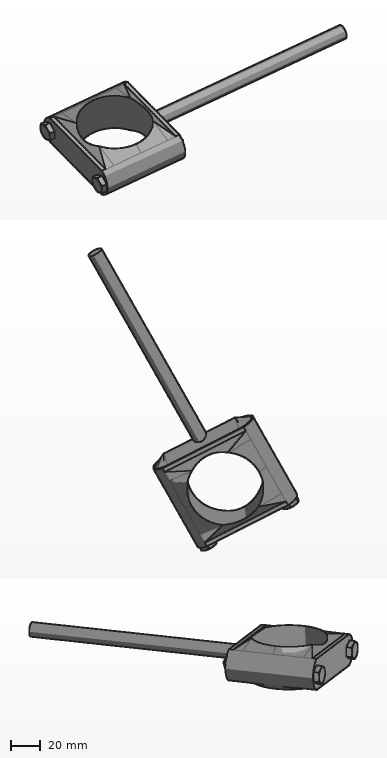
import math

import cadquery as cq

BODY_WIDTH = 75.85
BODY_HEIGHT = 21.8
BODY_DEPTH = 62.6
FLAT_HALF_WIDTH = 30.8

BORE_RADIUS = 25.5
PAD_TOP_Z = 14.92
PAD_CREST_Y = 21.7
PAD_BASE_Y = 28.3

ROOF_HEIGHT = 5.5
ROOF_SLOPE = math.radians(60)
RIDGE_HALF_LENGTH = 27.0

ROD_RADIUS = 5.0
TOTAL_LENGTH = 219.06
BOLT_X = 31.0
BOLT_SIDES = 6
BOLT_ACROSS_FLATS = 11.2
BOLT_HEAD_HEIGHT = 4.0
BOLT_CHAMFER_ANGLE = math.radians(30)

BACK_Y = BODY_DEPTH / 2
FRONT_Y = -BACK_Y
BODY_TOP_Z = BODY_HEIGHT / 2
ROD_END_Y = FRONT_Y - BOLT_HEAD_HEIGHT + TOTAL_LENGTH


def workplane_facing_back(y):
    """XZ plane at the given Y, extruding towards +Y, with local x along +Z and local y along +X."""
    return cq.Workplane(cq.Plane(origin=(0, y, 0), xDir=(0, 0, 1), normal=(0, 1, 0)))


def make_body():
    """Bar with flat top and bottom and arc-shaped sides."""
    side_x = BODY_WIDTH / 2
    return (
        workplane_facing_back(FRONT_Y)
        .moveTo(BODY_TOP_Z, -FLAT_HALF_WIDTH)
        .lineTo(BODY_TOP_Z, FLAT_HALF_WIDTH)
        .threePointArc((0, side_x), (-BODY_TOP_Z, FLAT_HALF_WIDTH))
        .lineTo(-BODY_TOP_Z, -FLAT_HALF_WIDTH)
        .threePointArc((0, -side_x), (BODY_TOP_Z, -FLAT_HALF_WIDTH))
        .close()
        .extrude(BODY_DEPTH)
    )


def polygon_face(*points):
    """Flat face bounded by straight edges through the given points."""
    return cq.Face.makeFromWires(cq.Wire.makePolygon(points, close=True))


def make_pad_quarter():
    """The +X +Y quarter of the upper pad, with its side ruled from the bore rim to the body edge."""
    crest_x = math.sqrt(BORE_RADIUS**2 - PAD_CREST_Y**2)
    half_angle = math.atan2(PAD_CREST_Y, crest_x) / 2

    base_center = cq.Vector(0, 0, BODY_TOP_Z)
    base_side = cq.Vector(FLAT_HALF_WIDTH, 0, BODY_TOP_Z)
    base_shoulder = cq.Vector(FLAT_HALF_WIDTH, PAD_CREST_Y, BODY_TOP_Z)
    base_corner = cq.Vector(FLAT_HALF_WIDTH, PAD_BASE_Y, BODY_TOP_Z)
    base_end = cq.Vector(0, PAD_BASE_Y, BODY_TOP_Z)
    top_center = cq.Vector(0, 0, PAD_TOP_Z)
    top_side = cq.Vector(BORE_RADIUS, 0, PAD_TOP_Z)
    top_crest = cq.Vector(crest_x, PAD_CREST_Y, PAD_TOP_Z)
    top_end = cq.Vector(0, PAD_CREST_Y, PAD_TOP_Z)
    rim_middle = cq.Vector(BORE_RADIUS * math.cos(half_angle), BORE_RADIUS * math.sin(half_angle), PAD_TOP_Z)

    rim = cq.Edge.makeThreePointArc(top_side, rim_middle, top_crest)
    body_edge = cq.Edge.makeLine(base_side, base_shoulder)
    top_outline = cq.Wire.assembleEdges(
        [
            cq.Edge.makeLine(top_center, top_side),
            rim,
            cq.Edge.makeLine(top_crest, top_end),
            cq.Edge.makeLine(top_end, top_center),
        ]
    )
    faces = [
        cq.Face.makeFromWires(top_outline),
        cq.Face.makeRuledSurface(rim, body_edge),
        polygon_face(top_crest, base_shoulder, base_corner),
        polygon_face(top_end, top_crest, base_corner, base_end),
        polygon_face(base_center, base_side, base_shoulder, base_corner, base_end),
        polygon_face(base_center, base_side, top_side, top_center),
        polygon_face(base_center, base_end, top_end, top_center),
    ]
    shell = cq.Shell.makeShell(faces)
    return cq.Workplane(cq.Solid.makeSolid(shell))


def make_pads():
    """All eight mirrored quarters: four above the body and four below it."""
    pads = make_pad_quarter()
    for plane in ("YZ", "XZ", "XY"):
        pads = pads.add(pads.mirror(plane))
    return pads


def make_roof():
    """Triangular ridge rounded off by a cone at each end."""
    base_radius = ROOF_HEIGHT * math.tan(ROOF_SLOPE)
    roof = (
        cq.Workplane("YZ")
        .workplane(offset=-RIDGE_HALF_LENGTH)
        .polyline([(BACK_Y, -base_radius), (BACK_Y + ROOF_HEIGHT, 0), (BACK_Y, base_radius)])
        .close()
        .extrude(2 * RIDGE_HALF_LENGTH)
    )
    for ridge_end_x in (-RIDGE_HALF_LENGTH, RIDGE_HALF_LENGTH):
        base_point = cq.Vector(ridge_end_x, BACK_Y, 0)
        cone = cq.Solid.makeCone(base_radius, 0, ROOF_HEIGHT, pnt=base_point, dir=cq.Vector(0, 1, 0))
        roof = roof.union(cq.Workplane(cone))
    return roof


def make_rod():
    """Plain round handle rising from the middle of the roof."""
    return workplane_facing_back(BACK_Y).circle(ROD_RADIUS).extrude(ROD_END_Y - BACK_Y)


def make_bolt_heads():
    """Hexagonal heads on the front face, corner up, each with a conical chamfer on its outer end."""
    corner_radius = BOLT_ACROSS_FLATS / 2 / math.cos(math.pi / BOLT_SIDES)
    chamfer_width = corner_radius - BOLT_ACROSS_FLATS / 2
    chamfer_height = chamfer_width * math.tan(BOLT_CHAMFER_ANGLE)
    seats = workplane_facing_back(FRONT_Y).pushPoints([(0, -BOLT_X), (0, BOLT_X)])
    hexagons = seats.polygon(BOLT_SIDES, 2 * corner_radius).extrude(-BOLT_HEAD_HEIGHT)
    chamfered_rounds = (
        seats.circle(corner_radius)
        .extrude(-BOLT_HEAD_HEIGHT)
        .faces("<Y")
        .chamfer(chamfer_height, chamfer_width)
    )
    return hexagons.intersect(chamfered_rounds)


def make_bore():
    """Through hole along Z, spanning the body and both pads."""
    return cq.Workplane("XY", origin=(0, 0, -PAD_TOP_Z)).circle(BORE_RADIUS).extrude(2 * PAD_TOP_Z)


result = make_body()
for quarter in make_pads().vals():
    result = result.union(cq.Workplane(quarter))
for piece in (make_roof(), make_rod(), make_bolt_heads()):
    result = result.union(piece)
result = result.cut(make_bore())